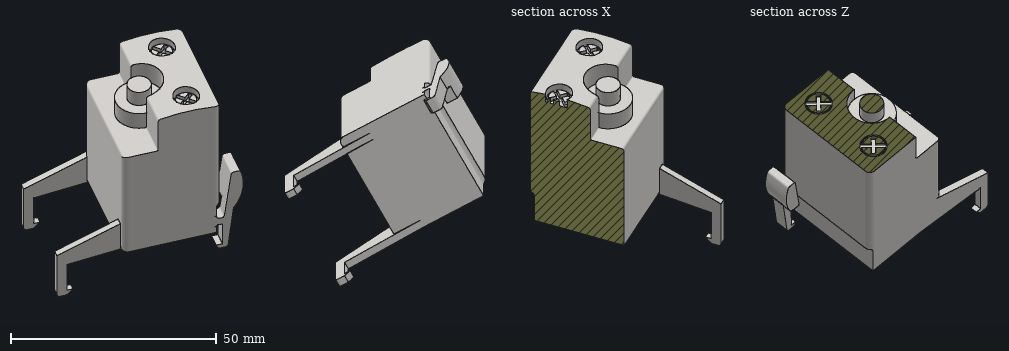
import cadquery as cq


width = 29.9
depth = 25.0
corner_radius = 1.55
crown_top = 41.75
crown_edge = 41.05
step_depth = 16.1
step_height = 31.0
front_edge_radius = 0.85
crown_front_radius = 0.9
crown_rear_radius = 0.65
step_root_radius = 0.45
recess_height = 8.85
recess_depth = 1.05
recess_root_radius = 0.85

button_y = -16.0
collar_radius = 6.0
collar_top = 35.75
button_radius = 3.0
button_top = 40.0

screw_x = 9.3
screw_y = -7.0
screw_hole_radius = 3.25
screw_hole_floor = 39.1
screw_head_radius = 3.0
screw_head_top = 40.4
screw_head_chamfer = 0.45
slot_width = 1.0
short_slot_length = 4.5
slot_angle = 45

front_reach = 41.3
hook_drop = 11.75
hook_thickness = 2.6
hook_root_y = -17.65
hook_root_top = 8.25
hook_outer_top = 1.8
hook_inner_top = -1.85
barb_height = -10.15
barb_reach = 1.6
hook_tip_radius = 0.9
left_hook_width = 2.0
right_hook_width = 1.8
right_hook_x = 10.8

clip_width = 3.65
clip_head_width = 7.15
clip_head_bottom = 8.0
clip_head_top = 18.55
clip_top_inner_y = 2.75
clip_top_outer_y = 5.05
clip_bulge_y = 5.85
clip_bulge_z = 14.3
clip_neck_inner_y = 1.35
clip_neck_outer_y = 4.15
arm_shoulder_y = 3.3
arm_shoulder_z = 6.8
foot_outer_y = 1.85
foot_inner_y = -0.6
foot_bottom = -5.4
foot_top = -4.1
foot_tip_y = -1.2
foot_tip_z = -4.5
arm_inner_y = 0.45
bridge_outer_y = 0.85
clip_head_radius = 0.75
clip_foot_radius = 0.8
bridge_bottom = 2.4
bridge_top = 4.45
bridge_lower_radius = 0.45
bridge_upper_radius = 0.85

right_side = width / 2
left_side = -width / 2


def side_prism(outline, x_start, x_length):
    """Extrude a closed (Y, Z) outline along +X."""
    return outline.extrude(x_length).translate((x_start, 0, 0))


def round_edge(body, radius, y, z):
    """Round the edge along X that passes nearest to (Y, Z)."""
    x_middle = body.val().BoundingBox().center.x
    return body.edges("|X").edges(cq.NearestToPointSelector((x_middle, y, z))).fillet(radius)


def upright_cylinder(radius, bottom, top, x, y):
    return cq.Workplane("XY", origin=(x, y, bottom)).circle(radius).extrude(top - bottom)


def make_housing():
    outline = (
        cq.Workplane("YZ")
        .moveTo(-recess_depth, 0)
        .lineTo(-depth, 0)
        .lineTo(-depth, step_height)
        .lineTo(-step_depth, step_height)
        .lineTo(-step_depth, crown_edge)
        .threePointArc((-step_depth / 2, crown_top), (0, crown_edge))
        .lineTo(0, recess_height)
        .lineTo(-recess_depth, recess_height)
        .close()
    )
    body = side_prism(outline, left_side, width)
    body = round_edge(body, front_edge_radius, -depth, step_height)
    body = round_edge(body, step_root_radius, -step_depth, step_height)
    body = round_edge(body, crown_front_radius, -step_depth, crown_edge)
    body = round_edge(body, crown_rear_radius, 0, crown_edge)
    body = round_edge(body, recess_root_radius, -recess_depth, recess_height)
    footprint = (
        cq.Workplane("XY", origin=(0, -depth / 2, 0))
        .rect(width, depth)
        .extrude(crown_top)
        .edges("|Z")
        .fillet(corner_radius)
    )
    return body.intersect(footprint)


def add_button(body):
    """Collar in a matching round pocket, with the button standing on it."""
    pocket = upright_cylinder(collar_radius, collar_top, crown_top, 0, button_y)
    collar = upright_cylinder(collar_radius, step_height / 2, collar_top, 0, button_y)
    button = upright_cylinder(button_radius, step_height / 2, button_top, 0, button_y)
    return body.cut(pocket).union(collar).union(button)


def add_screw(body, x):
    """Sunk screw head with one slot across it and a shorter one crossing that."""
    hole = upright_cylinder(screw_hole_radius, screw_hole_floor, crown_top, x, screw_y)
    head = upright_cylinder(screw_head_radius, screw_hole_floor, screw_head_top, x, screw_y)
    head = head.faces(">Z").chamfer(screw_head_chamfer)
    slots = (
        cq.Workplane("XY", origin=(x, screw_y, screw_hole_floor))
        .transformed(rotate=(0, 0, slot_angle))
        .rect(2 * screw_hole_radius, slot_width)
        .rect(slot_width, short_slot_length)
        .extrude(screw_head_top - screw_hole_floor)
    )
    return body.cut(hole).union(head.cut(slots))


def make_hook(x_start, hook_width):
    """Arm running forward from the housing, bent down and ending in a barb."""
    inner_y = hook_thickness - front_reach
    outline = (
        cq.Workplane("YZ")
        .moveTo(hook_root_y, 0)
        .lineTo(inner_y, hook_inner_top)
        .lineTo(inner_y, barb_height)
        .lineTo(inner_y + barb_reach, barb_height)
        .lineTo(inner_y, -hook_drop)
        .lineTo(-front_reach, -hook_drop)
        .lineTo(-front_reach, hook_outer_top)
        .lineTo(corner_radius - depth, hook_root_top)
        .lineTo(hook_root_y, hook_root_top)
        .close()
    )
    hook = side_prism(outline, x_start, hook_width)
    return round_edge(hook, hook_tip_radius, -front_reach, -hook_drop)


def make_clip():
    """Rear lever: wide thumb grip on a narrow arm, bridged to the housing."""
    grip_outline = (
        cq.Workplane("YZ")
        .moveTo(clip_neck_inner_y, clip_head_bottom)
        .lineTo(clip_top_inner_y, clip_head_top)
        .lineTo(clip_top_outer_y, clip_head_top)
        .threePointArc((clip_bulge_y, clip_bulge_z), (clip_neck_outer_y, clip_head_bottom))
        .close()
    )
    grip = side_prism(grip_outline, right_side - clip_head_width, clip_head_width)
    grip = round_edge(grip, clip_head_radius, clip_top_inner_y, clip_head_top)
    grip = round_edge(grip, clip_head_radius, clip_top_outer_y, clip_head_top)

    root_y = -recess_depth
    arm_outline = (
        cq.Workplane("YZ")
        .moveTo(clip_neck_inner_y, clip_head_bottom)
        .lineTo(clip_neck_outer_y, clip_head_bottom)
        .lineTo(arm_shoulder_y, arm_shoulder_z)
        .lineTo(foot_outer_y, foot_bottom)
        .lineTo(foot_inner_y, foot_bottom)
        .lineTo(foot_tip_y, foot_tip_z)
        .lineTo(foot_tip_y, foot_top)
        .lineTo(arm_inner_y, foot_top)
        .lineTo(arm_inner_y, bridge_bottom)
        .lineTo(root_y + bridge_lower_radius, bridge_bottom)
        .radiusArc((root_y, bridge_bottom - bridge_lower_radius), -bridge_lower_radius)
        .lineTo(root_y - corner_radius, bridge_bottom - bridge_lower_radius)
        .lineTo(root_y - corner_radius, bridge_top + bridge_upper_radius)
        .lineTo(root_y, bridge_top + bridge_upper_radius)
        .radiusArc((root_y + bridge_upper_radius, bridge_top), -bridge_upper_radius)
        .lineTo(bridge_outer_y, bridge_top)
        .close()
    )
    arm = side_prism(arm_outline, right_side - clip_width, clip_width)
    arm = round_edge(arm, clip_foot_radius, foot_outer_y, foot_bottom)
    arm = round_edge(arm, bridge_lower_radius, arm_inner_y, bridge_bottom)
    arm = round_edge(arm, bridge_upper_radius, bridge_outer_y, bridge_top)
    return grip.union(arm)


result = add_button(make_housing())
for side in (-1, 1):
    result = add_screw(result, side * screw_x)
result = result.union(make_hook(left_side, left_hook_width))
result = result.union(make_hook(right_hook_x, right_hook_width))
result = result.union(make_clip())